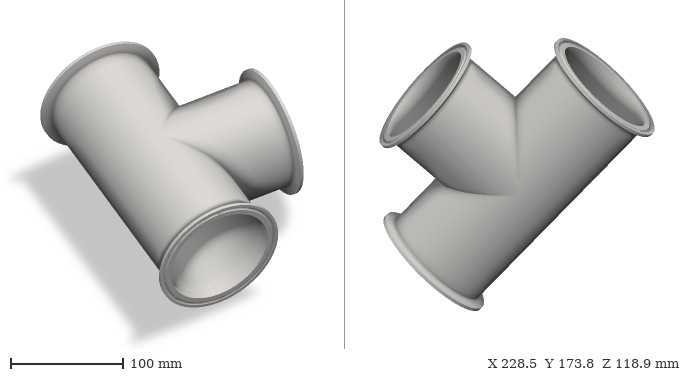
import cadquery as cq

run_length = 228.5
flange_diameter = 118.9
tube_diameter = 101.5
bore_diameter = 97.4
branch_reach = 114.3

rim_thickness = 3.0
flange_depth = 6.2
foot_fillet = 0.7

groove_center_diameter = 110.2
groove_width = 3.0
groove_depth = 1.1
groove_lip_fillet = 0.35

flange_radius = flange_diameter / 2
tube_radius = tube_diameter / 2
bore_radius = bore_diameter / 2
groove_center_radius = groove_center_diameter / 2
groove_inner_radius = groove_center_radius - groove_width / 2
groove_outer_radius = groove_center_radius + groove_width / 2

legs = [
    (run_length / 2, (0, 1, 0), 90),
    (run_length / 2, (0, 1, 0), -90),
    (branch_reach, (1, 0, 0), -90),
]


def solid_leg(length):
    """Solid leg along +Z from the tee center, ending in a grooved, tapered flange."""
    foot_height = length - flange_depth
    leg = (
        cq.Workplane("XZ")
        .lineTo(tube_radius, 0)
        .lineTo(tube_radius, foot_height)
        .lineTo(flange_radius, length - rim_thickness)
        .lineTo(flange_radius, length)
        .lineTo(groove_outer_radius, length)
        .threePointArc(
            (groove_center_radius, length - groove_depth),
            (groove_inner_radius, length),
        )
        .lineTo(0, length)
        .close()
        .revolve(360, (0, 0, 0), (0, 1, 0))
    )
    face_circles = leg.faces(">Z").edges()
    groove_lips = face_circles.filter(lambda edge: edge.radius() < flange_radius - groove_lip_fillet)
    leg = groove_lips.fillet(groove_lip_fillet)
    foot = leg.edges("%CIRCLE").edges(cq.selectors.CenterNthSelector(cq.Vector(0, 0, 1), 1))
    return foot.fillet(foot_fillet)


def leg_bore(length):
    """Bore of one leg along +Z from the tee center."""
    return cq.Workplane("XY").circle(bore_radius).extrude(length)


def aim(leg, axis, angle):
    """Turn a leg from +Z about an axis through the tee center."""
    return leg.rotate((0, 0, 0), axis, angle)


result = cq.Workplane("XY")
for length, axis, angle in legs:
    result = result.union(aim(solid_leg(length), axis, angle))
for length, axis, angle in legs:
    result = result.cut(aim(leg_bore(length), axis, angle))